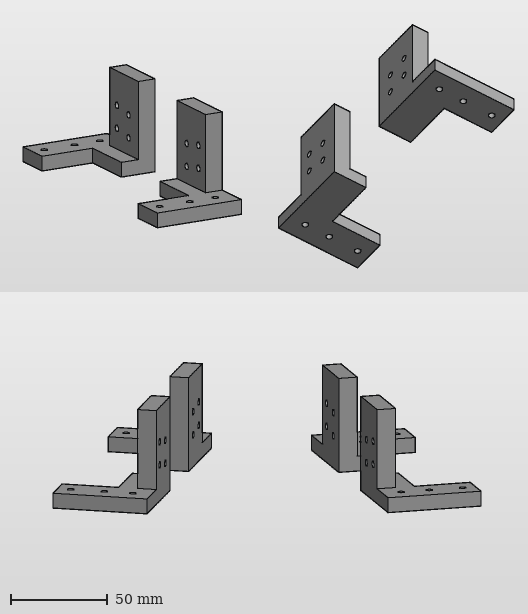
import cadquery as cq

overall_length = 140.0
bracket_size = 50.0

arm_width = 20.0
base_thickness = 8.0

upright_thickness = 10.0

hole_diameter = 3.4
leg_hole_setbacks = [10.0, 25.0, 43.0]
plate_hole_spacing = 12.3
outer_column_x = 27.6
inner_column_x = 39.8
outer_column_bottom = 19.2
inner_column_bottom = 17.1

back_y = bracket_size / 2
outer_x = -overall_length / 2


def base():
    """L-shaped base plate with its outer corner at the back."""
    leg = cq.Workplane("XY").box(arm_width, bracket_size, base_thickness, centered=False)
    foot = cq.Workplane("XY").box(bracket_size, arm_width, base_thickness, centered=False)
    leg = leg.translate((outer_x, back_y - bracket_size, 0))
    foot = foot.translate((outer_x, back_y - arm_width, 0))
    return leg.union(foot)


def upright():
    """Plate rising from the bottom face, flush with the back and inner end of the foot."""
    width = bracket_size - arm_width
    plate = cq.Workplane("XY").box(width, upright_thickness, bracket_size, centered=False)
    return plate.translate((outer_x + arm_width, back_y - upright_thickness, 0))


def leg_holes():
    """Vertical holes along the centre line of the leg."""
    centres = [(outer_x + arm_width / 2, back_y - setback) for setback in leg_hole_setbacks]
    return cq.Workplane("XY").pushPoints(centres).circle(hole_diameter / 2).extrude(base_thickness)


def upright_holes():
    """Two staggered columns of holes passing through the upright along Y."""
    columns = [(outer_column_x, outer_column_bottom), (inner_column_x, inner_column_bottom)]
    centres = []
    for x, bottom in columns:
        centres.append((outer_x + x, bottom))
        centres.append((outer_x + x, bottom + plate_hole_spacing))
    back_plane = cq.Workplane("XZ", origin=(0, back_y, 0))
    return back_plane.pushPoints(centres).circle(hole_diameter / 2).extrude(upright_thickness)


def bracket(mirrored):
    """One bracket on the -X side, or its mirror image on the +X side."""
    body = base().union(upright()).cut(leg_holes()).cut(upright_holes())
    if mirrored:
        body = body.mirror("YZ")
    return body


brackets = [bracket(mirrored).val() for mirrored in (False, True)]
result = cq.Compound.makeCompound([body.Solids()[0] for body in brackets])